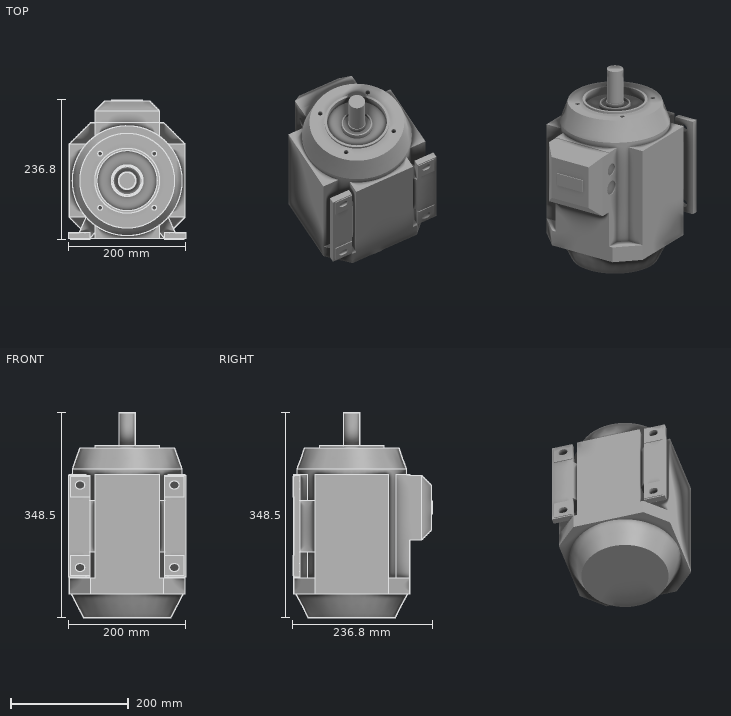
import cadquery as cq


shaft_dia = 28.0
shaft_length = 60.0
collar_dia = 30.0
spigot_outer_dia = 110.0
spigot_inner_dia = 102.0
spigot_height = 4.0
flange_face_dia = 161.0
flange_rim_dia = 186.5
flange_cone_bottom_z = -36.0
flange_recess_z = -10.0
bolt_circle_dia = 130.0
bolt_count = 4
bolt_start_angle = 45.0
bolt_hole_dia = 8.0
bolt_hole_depth = 16.0

ring_base_dia = 54.0
ring_top_dia = 51.5
ring_inner_dia = 47.5
ring_top_z = -2.5
ring_floor_z = -8.0

body_top_z = -45.5
body_bottom_z = -248.0
body_half = 98.5
body_flat_half = 62.0
rib_half_width = 55.0
notch_bottom_z = -220.5

cover_top_dia = 190.0
cover_bottom_dia = 148.0
cover_bottom_z = -288.5

foot_outer_x = 100.0
foot_inner_x = 63.5
foot_top_y = -88.0
shaft_center_height = 99.75
foot_length = 172.0
foot_center_z = -132.75
pad_edge_margin = 4.0
pad_end_margin = 2.0
pad_length = 34.25
foot_hole_x = 80.0
foot_hole_first_z = -63.0
foot_hole_pitch = 140.0
foot_hole_count = 2
foot_slot_length = 16.0
foot_slot_width = 13.0
web_length = 87.5
web_center_z = -133.0
web_outer_top_x = 69.8
web_outer_bottom_x = 81.5

box_side = 2 * rib_half_width
box_center_z = -101.5
box_shoulder_y = 118.5
box_lid_y = 135.5
box_taper = box_lid_y - box_shoulder_y
label_width = 52.5
label_height = 22.0
label_top_y = 137.0
entry_y = 92.0
entry_depth = 2.0
entry_holes = ((-79.5, 21.0), (-113.5, 25.0))


def cylinder(diameter, bottom_z, top_z):
    """Solid cylinder on the shaft axis."""
    return cq.Workplane("XY").workplane(offset=bottom_z).circle(diameter / 2).extrude(top_z - bottom_z)


def frustum(bottom_dia, bottom_z, top_dia, top_z):
    """Solid cone frustum on the shaft axis."""
    profile = [(0, bottom_z), (bottom_dia / 2, bottom_z), (top_dia / 2, top_z), (0, top_z)]
    return cq.Workplane("XZ").polyline(profile).close().revolve(360, (0, 0, 0), (0, 1, 0))


def block(x_range, y_range, z_range):
    """Box given by its limits along each axis."""
    ranges = (x_range, y_range, z_range)
    lows = cq.Vector(*[min(r) for r in ranges])
    sizes = [abs(r[1] - r[0]) for r in ranges]
    return cq.Workplane(obj=cq.Solid.makeBox(*sizes, pnt=lows))


def make_housing():
    """Round core with a full-depth rib block and a full-width side block; octagonal at its lower end."""
    z_range = (body_bottom_z, body_top_z)
    side = (-body_half, body_half)
    core = cylinder(flange_rim_dia, body_bottom_z, body_top_z)
    rib_block = block((-rib_half_width, rib_half_width), side, z_range)
    side_block = block(side, (-body_flat_half, body_flat_half), z_range)
    lower_end = (
        block(side, side, (body_bottom_z, notch_bottom_z))
        .edges("|Z")
        .chamfer(body_half - body_flat_half)
    )
    return core.union(rib_block).union(side_block).union(lower_end)


def make_flange():
    """Tapered end shield with spigot, recess, bearing ring and bolt holes."""
    rim = cylinder(flange_rim_dia, body_top_z, flange_cone_bottom_z)
    cone = frustum(flange_rim_dia, flange_cone_bottom_z, flange_face_dia, 0)
    spigot = cylinder(spigot_outer_dia, flange_cone_bottom_z, spigot_height)
    recess = cylinder(spigot_inner_dia, flange_recess_z, spigot_height)
    ring = frustum(ring_base_dia, flange_recess_z, ring_top_dia, ring_top_z)
    ring_bore = cylinder(ring_inner_dia, ring_floor_z, ring_top_z)
    bolt_holes = (
        cq.Workplane("XY")
        .polarArray(bolt_circle_dia / 2, bolt_start_angle, 360, bolt_count)
        .circle(bolt_hole_dia / 2)
        .extrude(-bolt_hole_depth)
    )
    shield = rim.union(cone).union(spigot).cut(recess)
    return shield.union(ring).cut(ring_bore).cut(bolt_holes)


def make_shaft():
    """Output shaft with a slightly larger collar up to the flange face."""
    collar = cylinder(collar_dia, body_top_z, 0)
    return collar.union(cylinder(shaft_dia, 0, shaft_length))


def make_foot():
    """Foot rail on the +X side with its web, two raised pads and two slotted holes."""
    foot_top_z = foot_center_z + foot_length / 2
    foot_bottom_z = foot_center_z - foot_length / 2
    foot = block((foot_inner_x, foot_outer_x), (-body_half, foot_top_y), (foot_bottom_z, foot_top_z))

    web_profile = [
        (rib_half_width, -body_flat_half),
        (web_outer_top_x, -body_flat_half),
        (web_outer_bottom_x, foot_top_y),
        (foot_inner_x, -body_half),
        (rib_half_width, foot_top_y),
    ]
    web = (
        cq.Workplane("XY")
        .workplane(offset=web_center_z - web_length / 2)
        .polyline(web_profile)
        .close()
        .extrude(web_length)
    )
    foot = foot.union(web)

    upper_pad_z = foot_top_z - pad_end_margin
    lower_pad_z = foot_bottom_z + pad_end_margin
    for pad_z in ((upper_pad_z - pad_length, upper_pad_z), (lower_pad_z, lower_pad_z + pad_length)):
        pad = block(
            (foot_inner_x, foot_outer_x - pad_edge_margin),
            (-shaft_center_height, -body_half),
            pad_z,
        )
        foot = foot.union(pad)

    slot_centers = [(foot_hole_x, foot_hole_first_z - i * foot_hole_pitch) for i in range(foot_hole_count)]
    slots = (
        cq.Workplane("XZ", origin=(0, foot_top_y, 0))
        .pushPoints(slot_centers)
        .slot2D(foot_slot_length, foot_slot_width)
        .extrude(shaft_center_height + foot_top_y)
    )
    return foot.cut(slots)


def make_terminal_box():
    """Square box with a tapered lid and a raised label plate on top."""
    half = box_side / 2
    base = block(
        (-half, half),
        (0, box_shoulder_y),
        (box_center_z - half, box_center_z + half),
    )
    lid = (
        block(
            (-half, half),
            (box_shoulder_y - box_taper, box_lid_y),
            (box_center_z - half, box_center_z + half),
        )
        .faces(">Y")
        .chamfer(box_taper)
    )
    label = block(
        (-label_width / 2, label_width / 2),
        (box_lid_y, label_top_y),
        (box_center_z - label_height / 2, box_center_z + label_height / 2),
    )
    return base.union(lid).union(label)


def make_cable_entries():
    """Shallow round cable entries to be cut into the -X side of the terminal box."""
    entries = cq.Workplane("YZ", origin=(-rib_half_width, 0, 0))
    for entry_z, entry_dia in entry_holes:
        entries = entries.moveTo(entry_y, entry_z).circle(entry_dia / 2)
    return entries.extrude(entry_depth)


foot_right = make_foot()
fan_cover = frustum(cover_bottom_dia, cover_bottom_z, cover_top_dia, body_bottom_z)

result = (
    make_housing()
    .union(fan_cover)
    .union(make_flange())
    .union(make_shaft())
    .union(make_terminal_box())
    .union(foot_right)
    .union(foot_right.mirror("YZ"))
    .cut(make_cable_entries())
)